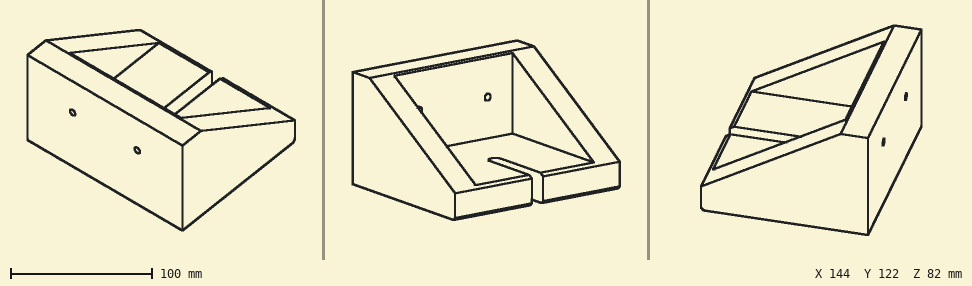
import cadquery as cq

width = 144.0
depth = 122.0
height = 82.0

top_land = 20.0
rear_height = 20.0
rear_bottom_chamfer = 2.0

side_wall = 20.3
front_wall = 22.0
floor_height = 22.0

slot_width = 10.0
slot_end = 67.0

hole_diameter = 5.0
hole_spacing = 60.0
hole_height = 52.0

center_x = width / 2


def make_body():
    """Wedge-shaped block, with its profile in the YZ plane extruded along X."""
    return (
        cq.Workplane("YZ")
        .moveTo(0, 0)
        .lineTo(depth - rear_bottom_chamfer, 0)
        .lineTo(depth, rear_bottom_chamfer)
        .lineTo(depth, rear_height)
        .lineTo(top_land, height)
        .lineTo(0, height)
        .close()
        .extrude(width)
    )


def make_pocket():
    """Pocket volume; its floor runs back until it meets the slope."""
    pocket_width = width - 2 * side_wall
    return cq.Workplane("XY").box(
        pocket_width, depth - front_wall, height - floor_height, centered=False
    ).translate((side_wall, front_wall, floor_height))


def make_slot():
    """Vertical slot with a round front end, open at the rear face."""
    radius = slot_width / 2
    arc_center_y = slot_end + radius
    return (
        cq.Workplane("XY")
        .moveTo(center_x - radius, depth)
        .lineTo(center_x - radius, arc_center_y)
        .threePointArc((center_x, slot_end), (center_x + radius, arc_center_y))
        .lineTo(center_x + radius, depth)
        .close()
        .extrude(height)
    )


def make_screw_hole(x):
    """Cylinder through the front wall into the pocket."""
    return cq.Workplane("XZ").center(x, hole_height).circle(hole_diameter / 2).extrude(-front_wall)


result = make_body().cut(make_pocket()).cut(make_slot())
for side in (-1, 1):
    result = result.cut(make_screw_hole(center_x + side * hole_spacing / 2))